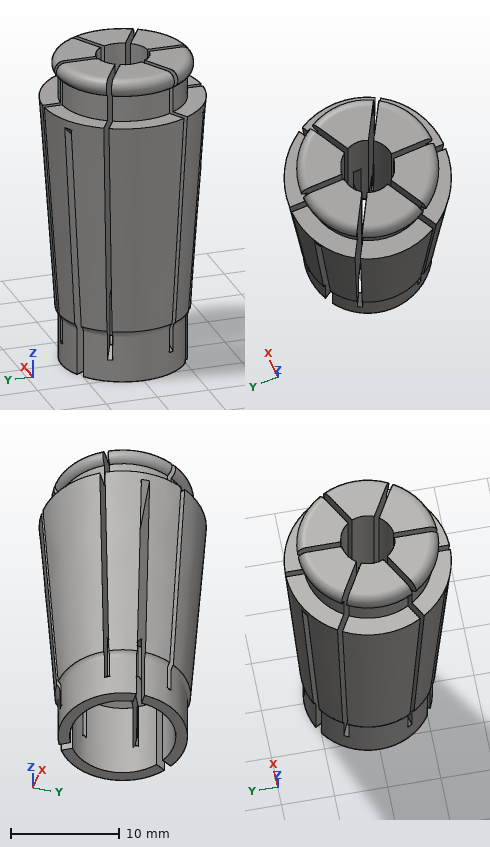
import cadquery as cq
import math

total_height = 30.5
bore_radius = 2.5

shank_diameter = 12.0
shank_radius = shank_diameter / 2
shank_top = 4.5

taper_bottom = 5.15
taper_bottom_radius = 6.28
shoulder_height = 26.3
shoulder_radius = 7.75

rim_section_diameter = 1.75
rim_section_radius = rim_section_diameter / 2
rim_center_radius = 5.7
rim_center_height = total_height - rim_section_radius

relief_radius = 4.9
relief_depth = 8.08
relief_tip_angle = 118.0

top_slot_width = 0.5
top_slot_count = 6
top_slot_first_angle = 30.0
top_slot_end = 2.17
bottom_slot_width = 0.8
bottom_slot_count = 3
bottom_slot_first_angle = 0.0
bottom_slot_end = 25.47

cut_margin = 1.52


def make_body():
    """Revolve the outer outline of the collet, still without bores or slots."""
    rim_overlap = shank_radius - rim_center_radius
    rim_bottom = rim_center_height - math.sqrt(rim_section_radius**2 - rim_overlap**2)
    return (
        cq.Workplane("XZ")
        .lineTo(shank_radius, 0)
        .lineTo(shank_radius, shank_top)
        .tangentArcPoint((taper_bottom_radius, taper_bottom), relative=False)
        .lineTo(shoulder_radius, shoulder_height)
        .lineTo(shank_radius, shoulder_height)
        .lineTo(shank_radius, rim_bottom)
        .threePointArc(
            (rim_center_radius + rim_section_radius, rim_center_height),
            (rim_center_radius, total_height),
        )
        .lineTo(0, total_height)
        .close()
        .revolve(360, (0, 0, 0), (0, 1, 0))
    )


def make_bores():
    """Through bore, with the wider relief bore and its conical end below it."""
    cone_height = (relief_radius - bore_radius) / math.tan(math.radians(relief_tip_angle / 2))
    return (
        cq.Workplane("XZ")
        .lineTo(relief_radius, 0)
        .lineTo(relief_radius, relief_depth)
        .lineTo(bore_radius, relief_depth + cone_height)
        .lineTo(bore_radius, total_height)
        .lineTo(0, total_height)
        .close()
        .revolve(360, (0, 0, 0), (0, 1, 0))
    )


def make_slot(width, end_radius, end_height, open_height, angle):
    """Radial slot, open at open_height.

    Its far end lies at end_height on end_radius and slopes at 45 degrees, so the slot gets
    shorter towards the axis.
    """
    outer_radius = shoulder_radius + cut_margin
    shortening = 1 if open_height > end_height else -1
    outer_end = end_height - shortening * (outer_radius - end_radius)
    axis_end = end_height + shortening * end_radius
    return (
        cq.Workplane("XZ")
        .moveTo(0, open_height)
        .lineTo(outer_radius, open_height)
        .lineTo(outer_radius, outer_end)
        .lineTo(0, axis_end)
        .close()
        .extrude(width / 2, both=True)
        .rotate((0, 0, 0), (0, 0, 1), angle)
    )


result = make_body().cut(make_bores())

taper_slope = (shoulder_radius - taper_bottom_radius) / (shoulder_height - taper_bottom)
bottom_slot_end_radius = taper_bottom_radius + taper_slope * (bottom_slot_end - taper_bottom)

for index in range(top_slot_count):
    slot_angle = top_slot_first_angle + index * 360 / top_slot_count
    result = result.cut(
        make_slot(top_slot_width, shank_radius, top_slot_end, total_height + cut_margin, slot_angle)
    )

for index in range(bottom_slot_count):
    slot_angle = bottom_slot_first_angle + index * 360 / bottom_slot_count
    result = result.cut(
        make_slot(bottom_slot_width, bottom_slot_end_radius, bottom_slot_end, -cut_margin, slot_angle)
    )